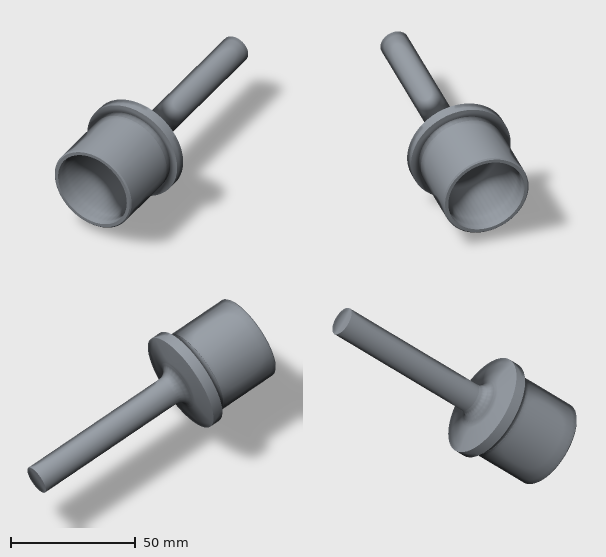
import cadquery as cq


total_length = 108.0
plug_length = 30.0
neck_length = 3.0
rim_thickness = 4.5

flange_diameter = 42.4
plug_diameter = 36.3
neck_diameter = 35.9
bore_diameter = 32.4
pin_diameter = 12.0

dome_radius = 100.0
pin_fillet = 5.0
floor_fillet = 2.0
mouth_chamfer = 0.5

rim_back = plug_length + rim_thickness
flange_radius = flange_diameter / 2
dome_center = rim_back - (dome_radius**2 - flange_radius**2) ** 0.5
dome_top = dome_center + dome_radius


def cylinder(diameter, start, end):
    """Cylinder about the Y axis between two Y positions."""
    plane = cq.Workplane("XZ", origin=(0, start, 0))
    return plane.circle(diameter / 2).extrude(start - end)


def domed_flange():
    """Disc with a flat seating face and a spherical back."""
    disc = cylinder(flange_diameter, plug_length, dome_top)
    ball = cq.Workplane("XY").sphere(dome_radius).translate((0, dome_center, 0))
    return disc.intersect(ball)


def flange_with_pin():
    """Flange and pin, blended by a fillet at the foot of the pin."""
    pin = cylinder(pin_diameter, plug_length + rim_thickness / 2, total_length)
    body = domed_flange().union(pin)
    pin_foot = cq.selectors.BoxSelector(
        (-pin_diameter, rim_back, -pin_diameter),
        (pin_diameter, dome_top, pin_diameter),
        boundingbox=True,
    )
    return body.edges(pin_foot).fillet(pin_fillet)


def plug():
    """Plug with a bevelled mouth and a slightly narrower neck."""
    neck_start = plug_length - neck_length
    sleeve = cylinder(plug_diameter, 0, neck_start).faces("<Y").chamfer(mouth_chamfer)
    return sleeve.union(cylinder(neck_diameter, neck_start, plug_length))


def bore():
    """Blind hole in the plug, rounded where its wall meets the floor."""
    return cylinder(bore_diameter, 0, plug_length).faces(">Y").edges().fillet(floor_fillet)


result = flange_with_pin().union(plug()).cut(bore())